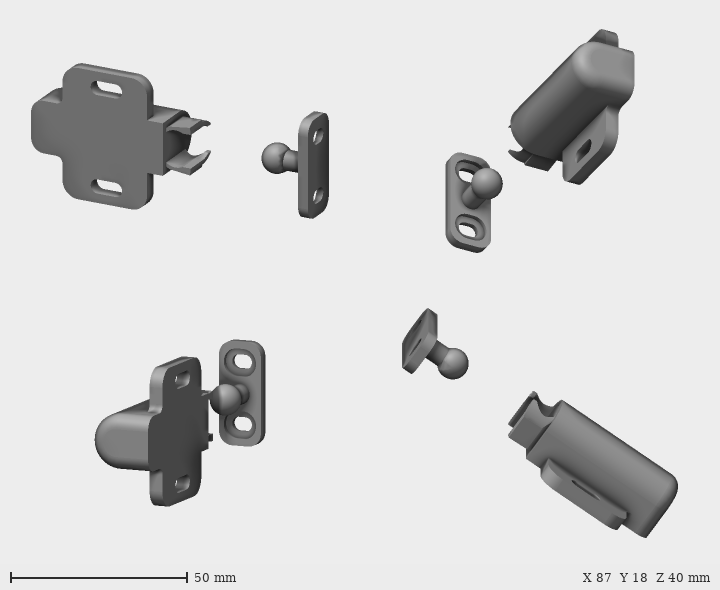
import cadquery as cq
import math


housing_length = 42.0
housing_height = 18.0
housing_radius = 8.0
housing_axis_y = housing_height - housing_radius
nose_fillet = 4.0

flange_start_x = 10.0
flange_end_x = 37.0
flange_width = 40.0
flange_thickness = 4.0
flange_corner_radius = 5.0
flange_root_radius = 2.0
flange_slot_length = 10.0
flange_slot_width = 4.3
flange_slot_x = 24.0
flange_slot_z = 15.0

clip_bottom_y = 2.1
clip_axis_y = 9.6
clip_radius = 6.5
clip_base_depth = 2.0
arm_end_x = 49.6
arm_end_z = 7.25
arm_root_outer_z = 5.85
arm_root_inner_z = 4.65
arm_bend_mid = (42.6, 6.25)
arm_bend_end = (43.2, 6.5)
seat_crest = (45.2, 5.65)
lip_start_x = 48.65
lip_end_x = 49.75
lip_z = 4.0
lip_heel = (49.95, 4.25)
lip_bore_radius = 5.1
lip_bore_start_x = 46.5

striker_axis_y = 9.0
ball_radius = 4.5
ball_x = 73.9
stem_radius = 3.0
plate_end_x = 87.0
plate_thickness = 3.1
plate_start_x = plate_end_x - plate_thickness
plate_width = 13.0
plate_length = 30.0
plate_corner_radius = 4.0
plate_slot_z = 9.0
plate_slot_length = 6.1
plate_slot_width = 4.2
counterbore_margin = 1.95
counterbore_depth = 1.5


def arch_prism(start_x, length, bottom_y, axis_y, radius):
    """Prism along X whose section is straight-sided below axis_y and a half circle above it."""
    return (
        cq.Workplane("YZ", origin=(start_x, 0, 0))
        .moveTo(bottom_y, -radius)
        .lineTo(axis_y, -radius)
        .threePointArc((axis_y + radius, 0), (axis_y, radius))
        .lineTo(bottom_y, radius)
        .close()
        .extrude(length)
    )


def flange():
    length = flange_end_x - flange_start_x
    center_x = (flange_start_x + flange_end_x) / 2
    return (
        cq.Workplane("XZ")
        .center(center_x, 0)
        .rect(length, flange_width)
        .extrude(-flange_thickness)
        .edges("|Y")
        .fillet(flange_corner_radius)
    )


def flange_root_fillet(side):
    """Concave fillet between the flange and the body at the nose end; side is +1 or -1 in Z."""
    r = flange_root_radius
    body_z = side * housing_radius
    mid_offset = r * (1 - math.sqrt(0.5))
    return (
        cq.Workplane("XZ")
        .moveTo(flange_start_x - r, body_z)
        .threePointArc(
            (flange_start_x - mid_offset, body_z + side * mid_offset),
            (flange_start_x, body_z + side * r),
        )
        .lineTo(flange_start_x, body_z)
        .close()
        .extrude(-flange_thickness)
    )


def clip_plug():
    """Shape shared by the clip base and its pocket in the housing end."""
    start_x = housing_length - clip_base_depth
    return arch_prism(start_x, clip_base_depth, clip_bottom_y, clip_axis_y, clip_radius)


def make_housing():
    body = arch_prism(0, housing_length, 0, housing_axis_y, housing_radius)
    nose_edges = body.faces("<X").edges("not(<Y)")
    body = nose_edges.fillet(nose_fillet)
    body = body.union(flange())
    for side in (1, -1):
        body = body.union(flange_root_fillet(side))
    slots = (
        cq.Workplane("XZ")
        .pushPoints([(flange_slot_x, flange_slot_z), (flange_slot_x, -flange_slot_z)])
        .slot2D(flange_slot_length, flange_slot_width)
        .extrude(-flange_thickness)
    )
    return body.cut(slots).cut(clip_plug())


def clip_arm():
    """Upper arm: curved ball seat ending in a lip, trimmed to the clip arch above the clip axis."""
    arm = (
        cq.Workplane("XZ", origin=(0, clip_bottom_y, 0))
        .moveTo(housing_length, arm_root_inner_z)
        .threePointArc(seat_crest, (lip_start_x, lip_z))
        .lineTo(lip_end_x, lip_z)
        .lineTo(*lip_heel)
        .lineTo(arm_end_x, arm_end_z)
        .lineTo(*arm_bend_end)
        .threePointArc(arm_bend_mid, (housing_length, arm_root_outer_z))
        .close()
        .extrude(-(clip_axis_y + clip_radius - clip_bottom_y))
    )
    reach = lip_heel[0] - housing_length
    lower_zone = (
        cq.Workplane("XY")
        .box(reach, clip_axis_y, housing_radius, centered=False)
        .translate((housing_length, 0, 0))
    )
    arch = arch_prism(housing_length, reach, clip_bottom_y, clip_axis_y, clip_radius)
    arm = arm.intersect(lower_zone.union(arch))
    lip_bore = arch_prism(
        lip_bore_start_x, lip_heel[0] - lip_bore_start_x, clip_bottom_y, clip_axis_y, lip_bore_radius
    )
    return arm.cut(lip_bore)


def make_clip():
    upper_arm = clip_arm()
    lower_arm = upper_arm.mirror("XY")
    return clip_plug().union(upper_arm).union(lower_arm)


def plate_slots(length, width, depth):
    """Pair of slots, long in Y, cut into the plate from its ball side."""
    return (
        cq.Workplane("YZ", origin=(plate_start_x, striker_axis_y, 0))
        .pushPoints([(0, plate_slot_z), (0, -plate_slot_z)])
        .slot2D(length, width)
        .extrude(depth)
    )


def make_striker():
    plate = (
        cq.Workplane("YZ", origin=(plate_start_x, striker_axis_y, 0))
        .rect(plate_width, plate_length)
        .extrude(plate_thickness)
        .edges("|X")
        .fillet(plate_corner_radius)
    )
    plate = plate.cut(plate_slots(plate_slot_length, plate_slot_width, plate_thickness))
    counterbores = plate_slots(
        plate_slot_length + 2 * counterbore_margin,
        plate_slot_width + 2 * counterbore_margin,
        counterbore_depth,
    )
    plate = plate.cut(counterbores)
    stem = (
        cq.Workplane("YZ", origin=(ball_x, striker_axis_y, 0))
        .circle(stem_radius)
        .extrude(plate_start_x - ball_x)
    )
    ball = cq.Workplane("XY", origin=(ball_x, striker_axis_y, 0)).sphere(ball_radius)
    return plate.union(stem).union(ball)


housing = make_housing()
clip = make_clip()
striker = make_striker()

result = cq.Compound.makeCompound([body.solids().val() for body in (housing, clip, striker)])